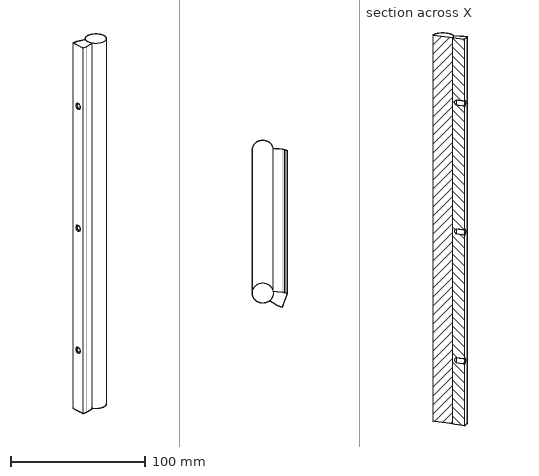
import cadquery as cq
import math

length = 304.8
shaft_diameter = 15.875
shaft_radius = shaft_diameter / 2
overall_depth = 25.39
base_drop = overall_depth - shaft_radius
shaft_end_gap = 0.3

base_width = 11.5
base_side_height = 3.6
neck_width = 7.85
neck_drop = math.sqrt(shaft_radius**2 - (neck_width / 2) ** 2)

groove_height = 2.1
groove_radius = 0.3

hole_count = 3
hole_pitch = length / hole_count
hole_diameter = 3.6
mouth_diameter = 4.9
hole_depth = 7.0
drill_point_angle = 118.0


def make_shaft():
    """Round shaft along Z."""
    return (
        cq.Workplane("XY", origin=(0, 0, shaft_end_gap))
        .circle(shaft_radius)
        .extrude(length - shaft_end_gap)
    )


def make_support_profile():
    """Flared bar whose top is a concave seat for the shaft."""
    half_base = base_width / 2
    half_neck = neck_width / 2
    shoulder_y = base_side_height - base_drop
    return (
        cq.Workplane("XY")
        .moveTo(-half_neck, -neck_drop)
        .lineTo(-half_base, shoulder_y)
        .lineTo(-half_base, -base_drop)
        .lineTo(half_base, -base_drop)
        .lineTo(half_base, shoulder_y)
        .lineTo(half_neck, -neck_drop)
        .threePointArc((0, -shaft_radius), (-half_neck, -neck_drop))
        .close()
        .extrude(length)
    )


def make_groove_cutter():
    """Round bar centred on the -X side face of the base."""
    return (
        cq.Workplane("XY")
        .center(-base_width / 2, groove_height - base_drop)
        .circle(groove_radius)
        .extrude(length)
    )


def make_hole_cutter():
    """Mounting hole that starts at the origin and goes toward +Y."""
    hole_radius = hole_diameter / 2
    mouth_radius = mouth_diameter / 2
    mouth_depth = mouth_radius - hole_radius
    tip_depth = hole_depth + hole_radius / math.tan(math.radians(drill_point_angle / 2))
    return (
        cq.Workplane("XY")
        .moveTo(0, 0)
        .lineTo(mouth_radius, 0)
        .lineTo(hole_radius, mouth_depth)
        .lineTo(hole_radius, hole_depth)
        .lineTo(0, tip_depth)
        .close()
        .revolve(360, (0, 0, 0), (0, 1, 0))
    )


def make_support():
    """Support with its reference groove and a centred row of mounting holes."""
    support_body = make_support_profile().cut(make_groove_cutter())
    hole_cutter = make_hole_cutter()
    for index in range(hole_count):
        hole_z = length / 2 + (index - (hole_count - 1) / 2) * hole_pitch
        support_body = support_body.cut(hole_cutter.translate((0, -base_drop, hole_z)))
    return support_body


shaft = make_shaft()
support = make_support()

result = cq.Compound.makeCompound([shaft.val(), support.val()])